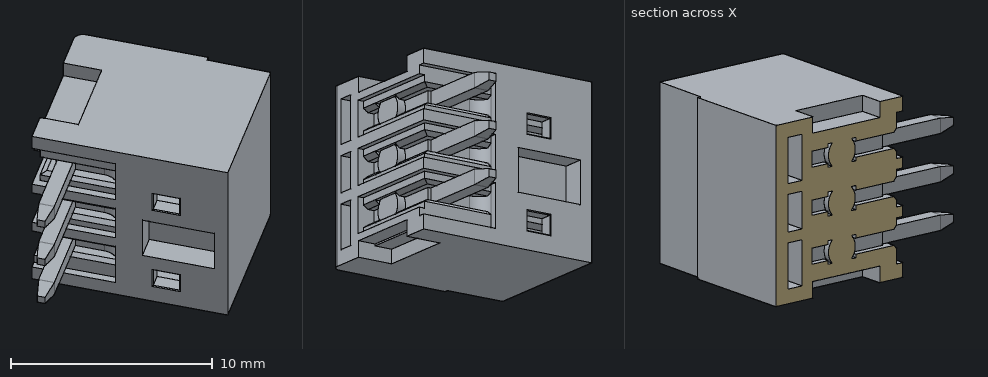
import cadquery as cq
import math

width = 10.1
depth = 8.1
height = 9.4
corner_radius = 0.5
back_step_x = 6.82
back_step = 0.2
back_taper = 0.05

pitch = 2.51
pole_count = 3
rib_centre = pitch / 2
rib_thickness = 0.58
end_recess_top = 3.92
end_slot_top = 3.46

front_recess_width = 4.31
front_recess_depth = 0.38
side_recess_length = 5.78
side_recess_depth = 0.32

channel_gap = 0.81
mouth_gap = 1.19
middle_channel_gap = 0.76
middle_mouth_gap = 1.23
front_lead_in = 0.2
side_lead_in = 0.29
channel_floor_x = 0.96
channel_floor_y = 1.05
bend_start_x = 3.45

boss_radius = 0.87
boss_y = 3.89
boss_face_x = 0.5

pin_width = 0.81
pin_tip_width = 0.42
pin_x = 1.55
pin_end = -3.8
taper_length = 0.99

window_near = 6.45
window_far = 7.3
window_depth = 1.78

notch_near = 1.49
notch_far = 5.74
notch_width = 1.99
notch_depth = 0.83
bottom_notch_outer_depth = 0.86
bottom_notch_inner_depth = 0.76

pocket_left = 5.7
pocket_right = 9.41
pocket_bottom = -1.8
pocket_top = 0.52
pocket_depth = 1.25

latch_x = 6.93
latch_width = 1.36
latch_height = 1.02
upper_latch_z = 1.86
lower_latch_z = upper_latch_z - 2 * pitch
latch_depth = 0.74
latch_chamfer = 0.05
chamber_width = 3.28
chamber_height = 1.18
chamber_depth = 0.93
chamber_ceiling_offset = 0.21


def box(x0, x1, y0, y1, z0, z1):
    """Box between two opposite corners."""
    return cq.Workplane("XY").box(x1 - x0, y1 - y0, z1 - z0, centered=False).translate((x0, y0, z0))


def make_housing():
    """Block with one rounded back corner and a stepped, slightly tapered back face."""
    step_y = depth - back_step
    outline = (
        cq.Workplane("XY")
        .workplane(offset=-height / 2)
        .polyline([(0, 0), (width, 0), (width, step_y - back_taper), (back_step_x, step_y),
                   (back_step_x, depth), (0, depth)])
        .close()
    )
    return outline.extrude(height).edges("|Z and <X and >Y").fillet(corner_radius)


def pole_span(pole_z, outer):
    """Z range of one pole, bounded by the ribs and, at the end poles, by the given outer height."""
    rib_near = rib_centre - rib_thickness / 2
    rib_far = rib_centre + rib_thickness / 2
    if pole_z > 0:
        return rib_far, outer
    if pole_z < 0:
        return -outer, -rib_far
    return -rib_near, rib_near


def make_channel_core():
    """Material left standing inside the wire channel, centred on Z = 0."""
    bend_width = front_recess_width - bend_start_x
    bend_rise = channel_floor_y - front_recess_depth
    bend_radius = (bend_width**2 + bend_rise**2) / (2 * bend_rise)
    mid_x = bend_start_x + bend_width / 2
    mid_y = channel_floor_y - bend_radius + math.sqrt(bend_radius**2 - (bend_width / 2) ** 2)
    return (
        cq.Workplane("XY")
        .moveTo(channel_floor_x, side_recess_length)
        .lineTo(channel_floor_x, channel_floor_y)
        .lineTo(bend_start_x, channel_floor_y)
        .threePointArc((mid_x, mid_y), (front_recess_width, front_recess_depth))
        .lineTo(front_recess_width, side_recess_length)
        .close()
        .extrude(pitch / 2, both=True)
    )


def lead_in_profile(plane, start, length, gap, mouth):
    """Trapezoid that narrows from the mouth to the channel gap, symmetric about Z = 0."""
    end = start + length
    return (
        cq.Workplane(plane)
        .polyline([(start, -mouth / 2), (end, -gap / 2), (end, gap / 2), (start, mouth / 2)])
        .close()
    )


def make_channel(gap, mouth):
    """Volume of one wire channel with its lead-ins and boss clearance, centred on Z = 0."""
    slot = box(0, front_recess_width, 0, side_recess_length, -gap / 2, gap / 2)
    front = lead_in_profile("YZ", front_recess_depth, front_lead_in, gap, mouth).extrude(front_recess_width)
    side = lead_in_profile("XZ", side_recess_depth, side_lead_in, gap, mouth).extrude(-side_recess_length)
    clearance = box(side_recess_depth, channel_floor_x, boss_y - boss_radius, boss_y + boss_radius,
                    -mouth / 2, mouth / 2)
    return slot.union(front).union(side).union(clearance).cut(make_channel_core())


def make_boss(mouth):
    """Disc on the channel floor, trimmed to the mouth of the channel."""
    disc = (
        cq.Workplane("YZ")
        .workplane(offset=boss_face_x)
        .center(boss_y, 0)
        .circle(boss_radius)
        .extrude(channel_floor_x - boss_face_x)
    )
    return disc.intersect(box(0, channel_floor_x, 0, depth, -mouth / 2, mouth / 2))


def make_pin():
    """Square pin from the channel floor, tapered at its free end."""
    taper_start = pin_end + taper_length
    half = pin_width / 2
    shank = box(pin_x - half, pin_x + half, taper_start, channel_floor_y, -half, half)
    tip = (
        cq.Workplane("XZ", origin=(pin_x, taper_start, 0))
        .rect(pin_width, pin_width)
        .workplane(offset=taper_length)
        .rect(pin_tip_width, pin_tip_width)
        .loft(ruled=True)
    )
    return shank.union(tip)


def cut_notches(body):
    """Notches in the top and bottom; the bottom one gets shallower halfway in."""
    top = height / 2
    upper = box(0, notch_width, notch_near, notch_far, top - notch_depth, top)
    lower_outer = box(0, notch_width / 2, notch_near, notch_far, -top, -top + bottom_notch_outer_depth)
    lower_inner = box(0, notch_width, notch_near, notch_far, -top, -top + bottom_notch_inner_depth)
    return body.cut(upper).cut(lower_outer).cut(lower_inner)


def make_latch_window(z):
    """Window with a chamfered mouth and the wider chamber behind it."""
    window = cq.Workplane("XZ", origin=(latch_x, 0, z)).rect(latch_width, latch_height).extrude(-latch_depth)
    mouth = (
        cq.Workplane("XZ", origin=(latch_x, 0, z))
        .rect(latch_width + 2 * latch_chamfer, latch_height + 2 * latch_chamfer)
        .workplane(offset=-latch_chamfer)
        .rect(latch_width, latch_height)
        .loft(ruled=True)
    )
    ceiling = z + chamber_ceiling_offset
    chamber = box(latch_x - chamber_width / 2, latch_x + chamber_width / 2,
                  latch_depth, latch_depth + chamber_depth, ceiling - chamber_height, ceiling)
    return window.union(mouth).union(chamber)


result = cut_notches(make_housing())
result = result.cut(box(pocket_left, pocket_right, 0, pocket_depth, pocket_bottom, pocket_top))
for latch_z in (upper_latch_z, lower_latch_z):
    result = result.cut(make_latch_window(latch_z))

for pole in range(pole_count):
    pole_z = (pole - (pole_count - 1) / 2) * pitch
    is_middle = pole_z == 0
    gap = middle_channel_gap if is_middle else channel_gap
    mouth = middle_mouth_gap if is_middle else mouth_gap
    recess_span = pole_span(pole_z, end_recess_top)
    slot_span = pole_span(pole_z, end_slot_top)
    result = result.cut(box(0, front_recess_width, 0, front_recess_depth, *recess_span))
    result = result.cut(box(0, side_recess_depth, 0, side_recess_length, *slot_span))
    result = result.cut(box(0, window_depth, window_near, window_far, *recess_span))
    result = result.cut(make_channel(gap, mouth).translate((0, 0, pole_z)))
    result = result.union(make_boss(mouth).translate((0, 0, pole_z)))
    result = result.union(make_pin().translate((0, 0, pole_z)))